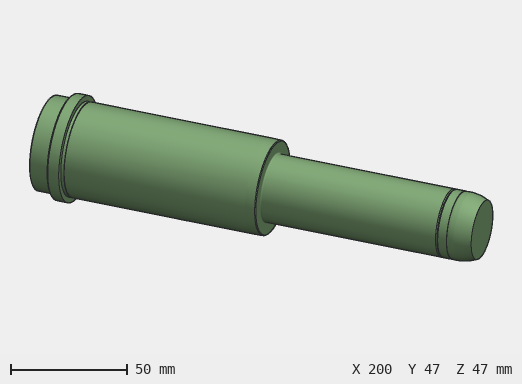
import cadquery as cq

total_length = 200.0
shank_radius = 42.0 / 2
collar_radius = 47.0 / 2
pin_radius = 30.0 / 2

base_chamfer_length = 0.5
base_chamfer_depth = 0.5
collar_start = 9.0
collar_end = 14.5
collar_chamfer = 0.5

rear_relief_length = 1.0
rear_relief_depth = 0.2
front_relief_length = 1.5
front_relief_depth = 0.5

shoulder = 104.0
lead_length = 4.8
lead_depth = 0.1
rim_chamfer = 0.5
pin_root_fillet = 0.5

v_groove_start = 184.5
v_groove_width = 1.0
v_groove_depth = 0.5
tapered_groove_start = 189.5
tapered_groove_width = 1.2
tapered_groove_depth = 0.2

nose_start = 192.8
nose_arc_radius = 18.0
tip_radius = 13.0


def add_base_and_collar(outline):
    """Rear seat with its chamfer, then the collar between its two reliefs."""
    front_relief_end = collar_end + front_relief_length
    return (
        outline.lineTo(0, shank_radius - base_chamfer_depth)
        .lineTo(base_chamfer_length, shank_radius)
        .lineTo(collar_start - rear_relief_length, shank_radius)
        .lineTo(collar_start, shank_radius - rear_relief_depth)
        .lineTo(collar_start, collar_radius - collar_chamfer)
        .lineTo(collar_start + collar_chamfer, collar_radius)
        .lineTo(collar_end, collar_radius)
        .lineTo(collar_end, shank_radius)
        .lineTo(front_relief_end, shank_radius - front_relief_depth)
        .lineTo(front_relief_end, shank_radius)
    )


def add_shoulder(outline):
    """Tapered lead-in, shoulder face and the fillet down to the pin."""
    rim_radius = shank_radius - lead_depth
    return (
        outline.lineTo(shoulder - lead_length, shank_radius)
        .lineTo(shoulder - rim_chamfer, rim_radius)
        .lineTo(shoulder, rim_radius - rim_chamfer)
        .lineTo(shoulder, pin_radius + pin_root_fillet)
        .radiusArc((shoulder + pin_root_fillet, pin_radius), -pin_root_fillet)
    )


def add_groove(outline, start, width, depth, deepest):
    """Groove in the pin that is deepest at the given fraction of its width."""
    return (
        outline.lineTo(start, pin_radius)
        .lineTo(start + width * deepest, pin_radius - depth)
        .lineTo(start + width, pin_radius)
    )


def add_nose(outline):
    """Rounded nose down to the flat tip."""
    return (
        outline.lineTo(nose_start, pin_radius)
        .radiusArc((total_length, tip_radius), nose_arc_radius)
        .lineTo(total_length, 0)
    )


outline = cq.Workplane("XY").moveTo(0, 0)
outline = add_base_and_collar(outline)
outline = add_shoulder(outline)
outline = add_groove(outline, v_groove_start, v_groove_width, v_groove_depth, deepest=0.5)
outline = add_groove(
    outline, tapered_groove_start, tapered_groove_width, tapered_groove_depth, deepest=0.0
)
outline = add_nose(outline)

result = outline.close().revolve(360, (0, 0, 0), (1, 0, 0))